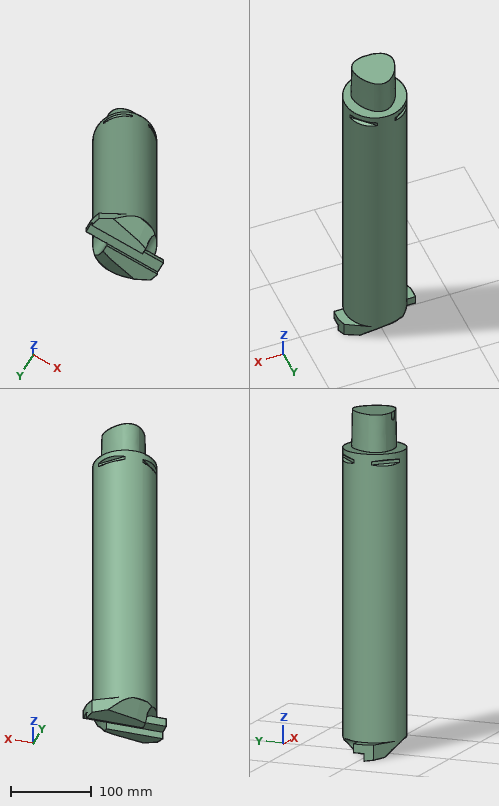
import cadquery as cq
import math

TOTAL_HEIGHT = 436.0
BODY_RADIUS = 80.0 / 2
HEAD_RADIUS = 103.8 / 2
HEAD_HEIGHT = 21.0
SHANK_HEIGHT = 47.5
BODY_TOP = TOTAL_HEIGHT - SHANK_HEIGHT

LOBE_REACH = 29.5
LOBE_RADIUS = 18.0
FLANK_REACH = 25.7
SHANK_TAPER = 1.1
KEY_WIDTH = 9.5
KEY_LENGTH = 10.5
KEY_DEPTH = 1.5

GROOVE_COUNT = 4
GROOVE_Z = 377.0
GROOVE_FLOOR_RADIUS = 35.5
GROOVE_FLOOR_HEIGHT = 4.0
GROOVE_MOUTH_HEIGHT = 8.0

WING_FACE = 7.0
WING_BACK = 18.7
SLOT_HEIGHT = 9.5
EDGE_STEP = 1.5
GULLET_X = 22.0
GULLET_FILLET = 11.0
RELIEF_SLOPE = 0.13
FACETS = [(18.7, -0.18), (19.5, -0.28)]
CUTTER_SIZE = 261.5


def lobed_profile():
    """Three tangent lobes joined by three flanks, drawn at the top of the body."""
    lobe_center = LOBE_REACH - LOBE_RADIUS
    gap = FLANK_REACH - LOBE_RADIUS
    flank_center = (lobe_center**2 - gap**2) / (2 * gap - lobe_center)
    flank_radius = flank_center + FLANK_REACH
    joint_x = lobe_center * math.cos(math.pi / 6) * flank_radius / (flank_radius - LOBE_RADIUS)
    joint_y = flank_center - math.sqrt(flank_radius**2 - joint_x**2)
    joint_radius = math.hypot(joint_x, joint_y)
    half_flank = math.degrees(math.atan2(joint_x, -joint_y))

    def point(radius, degrees):
        angle = math.radians(degrees)
        return radius * math.cos(angle), radius * math.sin(angle)

    profile = cq.Workplane("XY").workplane(offset=BODY_TOP).moveTo(*point(joint_radius, -90 - half_flank))
    for middle in (-90, 30, 150):
        profile = profile.threePointArc(point(FLANK_REACH, middle), point(joint_radius, middle + half_flank))
        lobe_end = point(joint_radius, middle + 120 - half_flank)
        profile = profile.threePointArc(point(LOBE_REACH, middle + 60), lobe_end)
    return profile.close()


def make_shank():
    shank = lobed_profile().extrude(SHANK_HEIGHT, taper=SHANK_TAPER)
    key_radius = KEY_WIDTH / 2
    key_z = TOTAL_HEIGHT - KEY_LENGTH + key_radius
    key = (
        cq.Workplane("XZ", origin=(0, KEY_DEPTH - FLANK_REACH, 0))
        .moveTo(-key_radius, TOTAL_HEIGHT)
        .lineTo(-key_radius, key_z)
        .threePointArc((0, key_z - key_radius), (key_radius, key_z))
        .lineTo(key_radius, TOTAL_HEIGHT)
        .close()
        .extrude(BODY_RADIUS)
    )
    return shank.cut(key)


def make_groove():
    """Straight trapezoidal groove on the +X side of the body."""
    floor = GROOVE_FLOOR_HEIGHT / 2
    mouth = GROOVE_MOUTH_HEIGHT / 2
    return (
        cq.Workplane("XZ", origin=(0, 0, GROOVE_Z))
        .polyline([
            (GROOVE_FLOOR_RADIUS, -floor),
            (BODY_RADIUS, -mouth),
            (BODY_RADIUS, mouth),
            (GROOVE_FLOOR_RADIUS, floor),
        ])
        .close()
        .extrude(BODY_RADIUS, both=True)
    )


def make_body():
    body = cq.Workplane("XY").workplane(offset=HEAD_HEIGHT).circle(BODY_RADIUS).extrude(BODY_TOP - HEAD_HEIGHT)
    groove = make_groove()
    for i in range(GROOVE_COUNT):
        angle = (i + 0.5) * 360 / GROOVE_COUNT
        body = body.cut(groove.rotate((0, 0, 0), (0, 0, 1), angle))
    return body


def half_space(origin, normal):
    """Large block starting at a plane and extending along its normal."""
    plane = cq.Plane(origin=origin, normal=normal)
    return cq.Workplane(plane).rect(CUTTER_SIZE, CUTTER_SIZE).extrude(CUTTER_SIZE)


def half_turn(shape):
    return shape.rotate((0, 0, 0), (0, 0, 1), 180)


def make_wing():
    """Wing on the -X side, its back running tangent into the body."""
    corner_angle = math.pi + math.asin(WING_BACK / HEAD_RADIUS)
    tangent_angle = corner_angle + math.acos(BODY_RADIUS / HEAD_RADIUS)
    land_end_angle = math.pi + math.asin(WING_FACE / HEAD_RADIUS)
    arc_middle_angle = (land_end_angle + corner_angle) / 2
    corner_x = HEAD_RADIUS * math.cos(corner_angle)
    tangent_point = (BODY_RADIUS * math.cos(tangent_angle), BODY_RADIUS * math.sin(tangent_angle))
    return (
        cq.Workplane("XY")
        .moveTo(0, WING_FACE)
        .lineTo(-HEAD_RADIUS, WING_FACE)
        .lineTo(-HEAD_RADIUS, -WING_FACE)
        .threePointArc(
            (HEAD_RADIUS * math.cos(arc_middle_angle), HEAD_RADIUS * math.sin(arc_middle_angle)),
            (corner_x, -WING_BACK),
        )
        .lineTo(*tangent_point)
        .lineTo(0, 0)
        .close()
        .extrude(HEAD_HEIGHT)
    )


def make_half_cutters(edge_z):
    """Gullet, facets and end relief of the -Y half of the head."""
    gullet = (
        cq.Workplane("XY")
        .box(HEAD_RADIUS, HEAD_RADIUS, HEAD_HEIGHT, centered=False)
        .translate((GULLET_X, -WING_FACE - HEAD_RADIUS, 0))
        .edges("<X and >Z")
        .fillet(GULLET_FILLET)
    )
    relief = half_space((0, -WING_FACE, edge_z), (0, -RELIEF_SLOPE, -1))
    facets = [half_space((0, -offset, 0), (-slope, -1, -1)) for offset, slope in FACETS]
    return [gullet, relief] + facets


def make_head():
    wing = make_wing()
    head = cq.Workplane("XY").circle(BODY_RADIUS).extrude(HEAD_HEIGHT)
    head = head.union(wing).union(half_turn(wing))
    slot = cq.Workplane("XY").rect(CUTTER_SIZE, 2 * WING_FACE).extrude(SLOT_HEIGHT)
    head = head.cut(slot)
    for cutter in make_half_cutters(0):
        head = head.cut(cutter)
    for cutter in make_half_cutters(EDGE_STEP):
        head = head.cut(half_turn(cutter))
    return head


result = make_body().union(make_shank()).union(make_head())